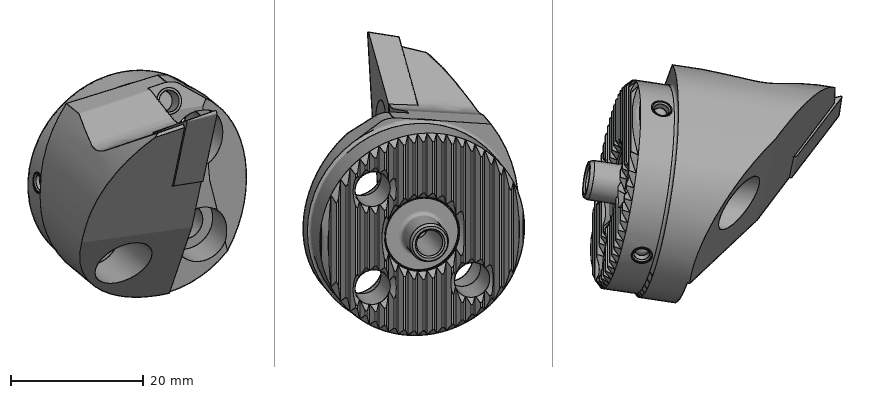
import math

import cadquery as cq


FLANGE_RADIUS = 16.0
COLLAR_RADIUS = 16.5
COLLAR_START = 6.75
COLLAR_END = 12.25
NECK_FILLET = COLLAR_RADIUS - FLANGE_RADIUS
TOOTH_DEPTH = 1.0
GROOVE_SPAN = 31.48
GROOVE_COUNT = 22
TOOTH_PITCH = GROOVE_SPAN / (GROOVE_COUNT - 1)
TOOTH_HALF_ANGLE = 30

BOLT_OFFSET = 7.75
BOLT_HOLE_RADIUS = 2.75
BOLT_HEAD_RADIUS = 4.4
BOLT_CHAMFER = 0.85
BOLT_PLACES = [
    (BOLT_OFFSET, BOLT_OFFSET),
    (BOLT_OFFSET, -BOLT_OFFSET),
    (-BOLT_OFFSET, -BOLT_OFFSET),
]

PIN_LENGTH = 3.92
PIN_RADIUS = 3.0
PIN_CHAMFER = 0.6
PIN_TIP_RADIUS = 2.75
PIN_FILLET = 0.63
PIN_BORE_RADIUS = 2.05
PIN_BORE_CHAMFER = 0.27
PIN_BORE_END = 5.5
PIN_BORE_POINT = 1.0
PIN_FLANGE_RADIUS = 5.85
PIN_FLANGE_START = 1.25
PIN_FLANGE_CHAMFER = 0.2
PIN_FLANGE_END = 7.45

PLUG_X = 4.3
PLUG_OFFSET = 1.65
PLUG_TOP = 15.85
PLUG_DEPTH = 3.53
SLEEVE_RADIUS = 1.6
SLEEVE_CHAMFER = 0.25
BALL_RADIUS = 1.18
BALL_DEPTH = 1.55
PLUG_ANGLES = [0, 90]

BODY_RADIUS = 22.58
BODY_CENTER_Z = 1.55
BODY_TOP_Y = -1.95
BODY_ARC_MIDDLE_ANGLE = 145
HUMP_PEAK = (3.05, 16.95)
HUMP_SHOULDER = (4.9, 16.62)
HUMP_MIDDLE = (4.05, 16.9)
HUMP_FOOT_Y = 9.33

NOSE_RADIUS = 0.4
NOSE_RADIUS_BELOW = 0.15
NOSE_REACH_X = 35.28
NOSE_REACH_Z = 22.0
EDGE_ANGLE = 27.5
CORNER_ANGLE = 35
EDGE_LENGTH = 16.6
INSERT_THICKNESS = 4.75
CLEARANCE_ANGLE = 5
RAKE_NORMAL = cq.Vector(-0.013, 1, 0.071).normalized()
RAKE_STEP = 0.1

SCREW_RADIUS = 2.0
SCREW_HEAD_RADIUS = 2.82
SCREW_HEAD_DEPTH = 1.75
SCREW_LENGTH = 7.85

POCKET_DIRECTION = cq.Vector(0.044, -1, -0.14)
POCKET_FLAT_Z = 16.6
POCKET_FLAT_END = 10.9
POCKET_FALL_ANGLE = 14
POCKET_RADIUS = 6.65
RAMP_POINT = (24.95, 16.4)
RELIEF_DIRECTION = cq.Vector(-0.06, -1, 0)
RELIEF_BREAK = (22.8, -1.7)
RELIEF_LOWER_ANGLE = 54.8
NOSE_FACET_DIRECTION = cq.Vector(-0.22, -1, -0.25)
NOSE_FACET_POINT = (34.38, 20.85)

SIDE_CHAMFER_NORMAL = cq.Vector(1, 0.38, 0.094)
SIDE_CHAMFER_POINT = (9.53, COLLAR_RADIUS, 0)
OUTLET_ANGLE = 20
OUTLET_FACE_X = 9.88
OUTLET_Y = 3.05
OUTLET_DROP = 2.65
LOWER_FACE_TOP = (11.4, 12.55)
LOWER_FACE_ANGLE = 4
OUTLET_RADIUS = 2.05
OUTLET_BORE_RADIUS = 1.65
OUTLET_DEPTH = 2.75

FAR = 58.8


def x_cylinder(radius, start, end, y=0, z=0):
    return cq.Workplane("YZ", origin=(start, y, z)).circle(radius).extrude(end - start)


def half_space(point, normal):
    """Large block that fills the side of a plane towards which the normal points."""
    plane = cq.Plane(origin=point, normal=normal)
    return cq.Workplane(plane).rect(2 * FAR, 2 * FAR).extrude(FAR)


def slanted_prism(outline, direction):
    """Prism of an XZ outline given at y = 0, swept both ways along an oblique direction."""
    start = direction * -FAR
    wire = outline.wire().val().moved(cq.Location(start))
    return cq.Workplane(cq.Solid.extrudeLinear(wire, [], direction * (2 * FAR)))


def shifted(point, angle, length):
    """Point reached from another by going a length at an angle in degrees."""
    turn = math.radians(angle)
    return (point[0] + length * math.cos(turn), point[1] + length * math.sin(turn))


def rhombus(corner, edge, radius, lift):
    far_low = shifted(corner, 180 + EDGE_ANGLE, edge)
    far_high = shifted(corner, 180 + EDGE_ANGLE + CORNER_ANGLE, edge)
    opposite = shifted(far_low, 180 + EDGE_ANGLE + CORNER_ANGLE, edge)
    sketch = cq.Sketch().polygon([corner, far_low, opposite, far_high, corner]).vertices().fillet(radius)
    return sketch.moved(cq.Location(cq.Vector(0, 0, lift)))


NOSE_CENTER = (-NOSE_RADIUS, -NOSE_RADIUS)
HALF_CORNER = CORNER_ANGLE / 2
BISECTOR = EDGE_ANGLE + HALF_CORNER
SHARP_CORNER = shifted(NOSE_CENTER, BISECTOR, NOSE_RADIUS / math.sin(math.radians(HALF_CORNER)))
CENTER_DISTANCE = EDGE_LENGTH * math.cos(math.radians(HALF_CORNER))
INSERT_CENTER = shifted(SHARP_CORNER, 180 + BISECTOR, CENTER_DISTANCE)

rake_plane = cq.Plane(
    origin=(NOSE_REACH_X, 0, NOSE_REACH_Z),
    xDir=(1, -RAKE_NORMAL.x / RAKE_NORMAL.y, 0),
    normal=RAKE_NORMAL * -1,
)


def make_insert_blank():
    inset = INSERT_THICKNESS * math.tan(math.radians(CLEARANCE_ANGLE))
    corner_below = shifted(SHARP_CORNER, 180 + BISECTOR, inset / math.sin(math.radians(HALF_CORNER)))
    edge_below = EDGE_LENGTH - 2 * inset / math.sin(math.radians(CORNER_ANGLE))
    return (
        cq.Workplane(rake_plane)
        .placeSketch(
            rhombus(SHARP_CORNER, EDGE_LENGTH, NOSE_RADIUS, 0),
            rhombus(corner_below, edge_below, NOSE_RADIUS_BELOW, INSERT_THICKNESS),
        )
        .loft()
    )


def make_insert_screw():
    profile = [
        (0, 0),
        (SCREW_HEAD_RADIUS, 0),
        (SCREW_RADIUS, SCREW_HEAD_DEPTH),
        (SCREW_RADIUS, SCREW_LENGTH),
        (0, SCREW_LENGTH),
    ]
    axis_plane = cq.Plane(
        origin=rake_plane.toWorldCoords(INSERT_CENTER),
        xDir=rake_plane.xDir,
        normal=rake_plane.xDir.cross(rake_plane.zDir),
    )
    return cq.Workplane(axis_plane).polyline(profile).close().revolve(360, (0, 0), (0, 1))


def make_pin():
    floor = PIN_FLANGE_START
    tip = -PIN_LENGTH
    mouth = PIN_BORE_RADIUS + PIN_BORE_CHAMFER
    fillet_middle = PIN_FILLET * (1 - math.sqrt(0.5))
    return (
        cq.Workplane("XY")
        .moveTo(tip + PIN_BORE_CHAMFER, PIN_BORE_RADIUS)
        .lineTo(tip, mouth)
        .lineTo(tip, PIN_TIP_RADIUS)
        .lineTo(tip + PIN_CHAMFER, PIN_RADIUS)
        .lineTo(floor - PIN_FILLET, PIN_RADIUS)
        .threePointArc(
            (floor - fillet_middle, PIN_RADIUS + fillet_middle),
            (floor, PIN_RADIUS + PIN_FILLET),
        )
        .lineTo(floor, PIN_FLANGE_RADIUS - PIN_FLANGE_CHAMFER)
        .lineTo(floor + PIN_FLANGE_CHAMFER, PIN_FLANGE_RADIUS)
        .lineTo(PIN_FLANGE_END, PIN_FLANGE_RADIUS)
        .lineTo(PIN_FLANGE_END, 0)
        .lineTo(PIN_BORE_END + PIN_BORE_POINT, 0)
        .lineTo(PIN_BORE_END, PIN_BORE_RADIUS)
        .close()
        .revolve(360, (0, 0, 0), (1, 0, 0))
    )


def plug_place(angle, radius):
    """Location on a plug axis, its local Z pointing outwards; angle 0 is the -Y side."""
    base = cq.Plane(origin=(PLUG_X, -radius, PLUG_OFFSET), xDir=(1, 0, 0), normal=(0, -1, 0))
    return cq.Location(cq.Vector(), cq.Vector(1, 0, 0), angle) * cq.Location(base)


def make_plug_hole(angle):
    """Blind hole for a plug, open to the outside of the flange."""
    hole = cq.Workplane("XY").circle(SLEEVE_RADIUS).extrude(PLUG_DEPTH + SLEEVE_RADIUS)
    return cq.Workplane(hole.val().moved(plug_place(angle, PLUG_TOP - PLUG_DEPTH)))


def make_sleeve(angle):
    sleeve = cq.Workplane("XY").circle(SLEEVE_RADIUS).circle(BALL_RADIUS).extrude(PLUG_DEPTH)
    mouth_edge = cq.selectors.RadiusNthSelector(0)
    sleeve = sleeve.faces(">Z").edges(mouth_edge).chamfer(SLEEVE_CHAMFER)
    return cq.Workplane(sleeve.val().moved(plug_place(angle, PLUG_TOP - PLUG_DEPTH)))


def make_ball(angle):
    ball = cq.Workplane("XY").sphere(BALL_RADIUS)
    return cq.Workplane(ball.val().moved(plug_place(angle, PLUG_TOP - BALL_DEPTH)))


outlet_axis = cq.Vector(math.cos(math.radians(OUTLET_ANGLE)), 0, math.sin(math.radians(OUTLET_ANGLE)))
outlet_plane = cq.Plane(
    origin=(
        OUTLET_FACE_X + OUTLET_DROP * math.tan(math.radians(OUTLET_ANGLE)),
        OUTLET_Y,
        HUMP_PEAK[1] - OUTLET_DROP,
    ),
    xDir=(0, 1, 0),
    normal=outlet_axis,
)


def make_outlet_sleeve():
    return (
        cq.Workplane(outlet_plane)
        .circle(OUTLET_RADIUS)
        .circle(OUTLET_BORE_RADIUS)
        .extrude(-OUTLET_DEPTH)
    )


def make_flange():
    fillet_middle = NECK_FILLET * math.sqrt(0.5)
    return (
        cq.Workplane("XY")
        .lineTo(0, FLANGE_RADIUS - TOOTH_DEPTH)
        .lineTo(TOOTH_DEPTH, FLANGE_RADIUS)
        .lineTo(COLLAR_START - NECK_FILLET, FLANGE_RADIUS)
        .threePointArc(
            (COLLAR_START - NECK_FILLET + fillet_middle, COLLAR_RADIUS - fillet_middle),
            (COLLAR_START, COLLAR_RADIUS),
        )
        .lineTo(COLLAR_START, 0)
        .close()
        .revolve(360, (0, 0, 0), (1, 0, 0))
    )


def make_body():
    foot_z = math.sqrt(COLLAR_RADIUS**2 - HUMP_FOOT_Y**2)
    arc_center_y = BODY_RADIUS - COLLAR_RADIUS
    top_z = BODY_CENTER_Z + math.sqrt(BODY_RADIUS**2 - (arc_center_y - BODY_TOP_Y) ** 2)
    arc_middle = shifted((arc_center_y, BODY_CENTER_Z), BODY_ARC_MIDDLE_ANGLE, BODY_RADIUS)
    return (
        cq.Workplane("YZ", origin=(COLLAR_START, 0, 0))
        .moveTo(HUMP_FOOT_Y, foot_z)
        .threePointArc((0, -COLLAR_RADIUS), (-COLLAR_RADIUS, 0))
        .lineTo(-COLLAR_RADIUS, BODY_CENTER_Z)
        .threePointArc(arc_middle, (BODY_TOP_Y, top_z))
        .lineTo(HUMP_PEAK[0], top_z)
        .lineTo(*HUMP_PEAK)
        .threePointArc(HUMP_MIDDLE, HUMP_SHOULDER)
        .close()
        .extrude(FAR)
    )


def cut_serrations(head):
    half_width = TOOTH_DEPTH * math.tan(math.radians(TOOTH_HALF_ANGLE))
    groove = (
        cq.Workplane("XY", origin=(0, 0, -FAR))
        .polyline([(0, -half_width), (TOOTH_DEPTH, 0), (0, half_width)])
        .close()
        .extrude(2 * FAR)
    )
    for index in range(GROOVE_COUNT):
        head = head.cut(groove.translate((0, index * TOOTH_PITCH - GROOVE_SPAN / 2, 0)))
    return head


def face_chamfer(radius, depth, y=0, z=0):
    """45-degree countersink in the serrated face around a hole."""
    return cq.Workplane(
        cq.Solid.makeCone(radius + depth, radius, depth, cq.Vector(0, y, z), cq.Vector(1, 0, 0))
    )


def cut_bolt_holes(head):
    for y, z in BOLT_PLACES:
        head = head.cut(x_cylinder(BOLT_HOLE_RADIUS, 0, FAR, y, z))
        head = head.cut(x_cylinder(BOLT_HEAD_RADIUS, COLLAR_START, FAR, y, z))
        head = head.cut(face_chamfer(BOLT_HOLE_RADIUS, BOLT_CHAMFER, y, z))
    return head


def cut_chip_pocket(head):
    """Flat, falling slope, concave round and ramp above the head."""
    fall = math.tan(math.radians(POCKET_FALL_ANGLE))
    rise = math.tan(math.radians(EDGE_ANGLE))
    valley_x = (
        POCKET_FLAT_Z + fall * POCKET_FLAT_END - RAMP_POINT[1] + rise * RAMP_POINT[0]
    ) / (fall + rise)
    valley = (valley_x, POCKET_FLAT_Z - fall * (valley_x - POCKET_FLAT_END))
    half_turn = math.radians(POCKET_FALL_ANGLE + EDGE_ANGLE) / 2
    tangent = POCKET_RADIUS * math.tan(half_turn)
    sag = POCKET_RADIUS * (1 / math.cos(half_turn) - 1)
    arc_start = shifted(valley, 180 - POCKET_FALL_ANGLE, tangent)
    arc_end = shifted(valley, EDGE_ANGLE, tangent)
    arc_middle = shifted(valley, 90 + (EDGE_ANGLE - POCKET_FALL_ANGLE) / 2, sag)
    ramp_end = shifted(arc_end, EDGE_ANGLE, FAR)
    outline = (
        cq.Workplane("XZ")
        .moveTo(-FAR, POCKET_FLAT_Z)
        .lineTo(POCKET_FLAT_END, POCKET_FLAT_Z)
        .lineTo(*arc_start)
        .threePointArc(arc_middle, arc_end)
        .lineTo(*ramp_end)
        .lineTo(-FAR, ramp_end[1])
        .close()
    )
    return head.cut(slanted_prism(outline, POCKET_DIRECTION))


def cut_relief(head):
    """Back of the head in two slopes, both leaning in towards -Y."""
    upper_end = shifted(RELIEF_BREAK, EDGE_ANGLE + CORNER_ANGLE, FAR)
    lower_end = shifted(RELIEF_BREAK, 180 + RELIEF_LOWER_ANGLE, FAR)
    outline = (
        cq.Workplane("XZ")
        .polyline([upper_end, RELIEF_BREAK, lower_end, (2 * FAR, lower_end[1]), (2 * FAR, upper_end[1])])
        .close()
    )
    facet_ends = [shifted(NOSE_FACET_POINT, BISECTOR + side, FAR) for side in (90, -90)]
    facet_outline = (
        cq.Workplane("XZ")
        .polyline([facet_ends[0], facet_ends[1], shifted(NOSE_FACET_POINT, BISECTOR, FAR)])
        .close()
    )
    head = head.cut(slanted_prism(outline, RELIEF_DIRECTION))
    return head.cut(slanted_prism(facet_outline, NOSE_FACET_DIRECTION))


def make_open_side():
    """Space on the +Y side of the head, up to a plane just below the rake face of the insert."""
    seat_point = cq.Vector(NOSE_REACH_X, 0, NOSE_REACH_Z) - RAKE_NORMAL * RAKE_STEP
    return half_space(seat_point, RAKE_NORMAL)


def cut_collar_back(head):
    """Back of the collar: a flat end, a slanted side and two slanted faces at the outlet."""
    angle = math.radians(LOWER_FACE_ANGLE)
    lower_normal = cq.Vector(math.cos(angle), 0, math.sin(angle))
    lower_point = (LOWER_FACE_TOP[0], 0, LOWER_FACE_TOP[1])
    open_side = make_open_side()
    for point, normal in [
        ((COLLAR_END, 0, 0), cq.Vector(1, 0, 0)),
        (SIDE_CHAMFER_POINT, SIDE_CHAMFER_NORMAL),
        (outlet_plane.origin, outlet_axis),
        (lower_point, lower_normal),
    ]:
        head = head.cut(half_space(point, normal).intersect(open_side))
    return head


def make_head(pin_seat, insert, screw):
    head = make_body()
    head = cut_chip_pocket(head)
    head = cut_relief(head)
    head = cut_collar_back(head)
    head = cut_serrations(make_flange()).union(head)
    head = cut_bolt_holes(head)
    head = head.cut(pin_seat).cut(face_chamfer(PIN_FLANGE_RADIUS, TOOTH_DEPTH))
    head = head.cut(insert).cut(screw)
    head = head.cut(cq.Workplane(outlet_plane).circle(OUTLET_RADIUS).extrude(-OUTLET_DEPTH))
    for angle in PLUG_ANGLES:
        head = head.cut(make_plug_hole(angle))
    return head


pin = make_pin()
insert_blank = make_insert_blank()
insert_screw = make_insert_screw()
insert = insert_blank.cut(insert_screw)
sleeves = [make_sleeve(angle) for angle in PLUG_ANGLES]
balls = [make_ball(angle) for angle in PLUG_ANGLES]
outlet_sleeve = make_outlet_sleeve()
head = make_head(x_cylinder(PIN_FLANGE_RADIUS, 0, PIN_FLANGE_END), insert_blank, insert_screw)

result = cq.Compound.makeCompound(
    [
        head.val(),
        pin.val(),
        insert.val(),
        insert_screw.val(),
        outlet_sleeve.val(),
        *[sleeve.val() for sleeve in sleeves],
        *[ball.val() for ball in balls],
    ]
)